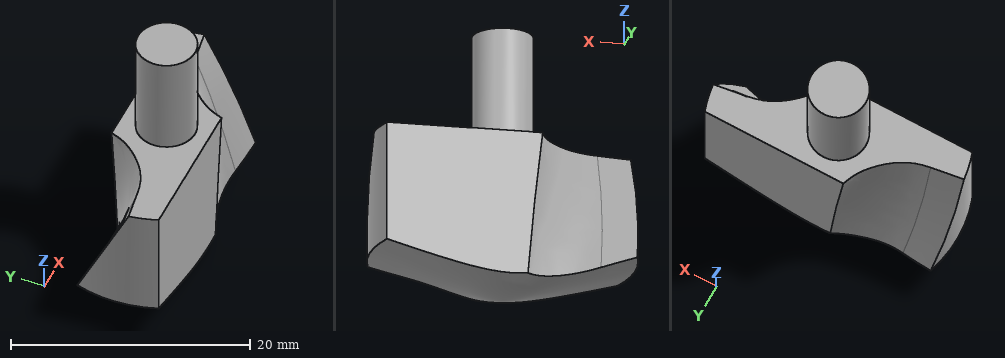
import cadquery as cq
import math

total_height = 23.3
outer_radius = 11.35
body_thickness = 7.75
body_top = 13.8
tip_height = 3.43
shank_diameter = 5.2

flute_lip = (11.3, 1.4)
root_start = (8.27, 0.95)
root_upper = (4.82, -0.65)
root_lower = (3.03, -2.9)
root_end = (2.63, -3.9)
twist_rate = 107.3 / 44.5
clearance = 2.8


def extend(start, end, distance):
    """Point a given distance past end on the line from start to end."""
    dx = end[0] - start[0]
    dy = end[1] - start[1]
    length = math.hypot(dx, dy)
    return (end[0] + dx * distance / length, end[1] + dy * distance / length)


def make_body():
    """Flat blade trimmed by the cylindrical rim and the conical point."""
    envelope = (
        cq.Workplane("XZ")
        .polyline([(0, 0), (outer_radius, tip_height), (outer_radius, body_top), (0, body_top)])
        .close()
        .revolve(360, (0, 0, 0), (0, 1, 0))
    )
    blade = cq.Workplane("XY").box(
        2 * outer_radius, body_thickness, body_top, centered=(True, True, False)
    )
    return blade.intersect(envelope)


def make_flute_cutter():
    """Helical cutter swept down from the top of the body to the point."""
    lip_end = extend(root_start, flute_lip, clearance)
    heel_end = extend(root_lower, root_end, clearance)
    lip_direction = (root_start[0] - flute_lip[0], root_start[1] - flute_lip[1])
    heel_direction = (root_end[0] - root_lower[0], root_end[1] - root_lower[1])
    section = (
        cq.Workplane("XY")
        .moveTo(*lip_end)
        .lineTo(*root_start)
        .spline(
            [root_upper, root_lower, root_end],
            tangents=[lip_direction, heel_direction],
            includeCurrent=True,
        )
        .lineTo(*heel_end)
        .lineTo(lip_end[0], heel_end[1])
        .close()
    )
    twist = twist_rate * body_top
    cutter = section.twistExtrude(body_top, twist)
    return cutter.rotate((0, 0, 0), (0, 0, 1), -twist)


def make_shank():
    """Round shank above the body."""
    return (
        cq.Workplane("XY")
        .workplane(offset=body_top)
        .circle(shank_diameter / 2)
        .extrude(total_height - body_top)
    )


flute = make_flute_cutter()
result = make_body()
for turn in (0, 180):
    result = result.cut(flute.rotate((0, 0, 0), (0, 0, 1), turn))
result = result.union(make_shank())